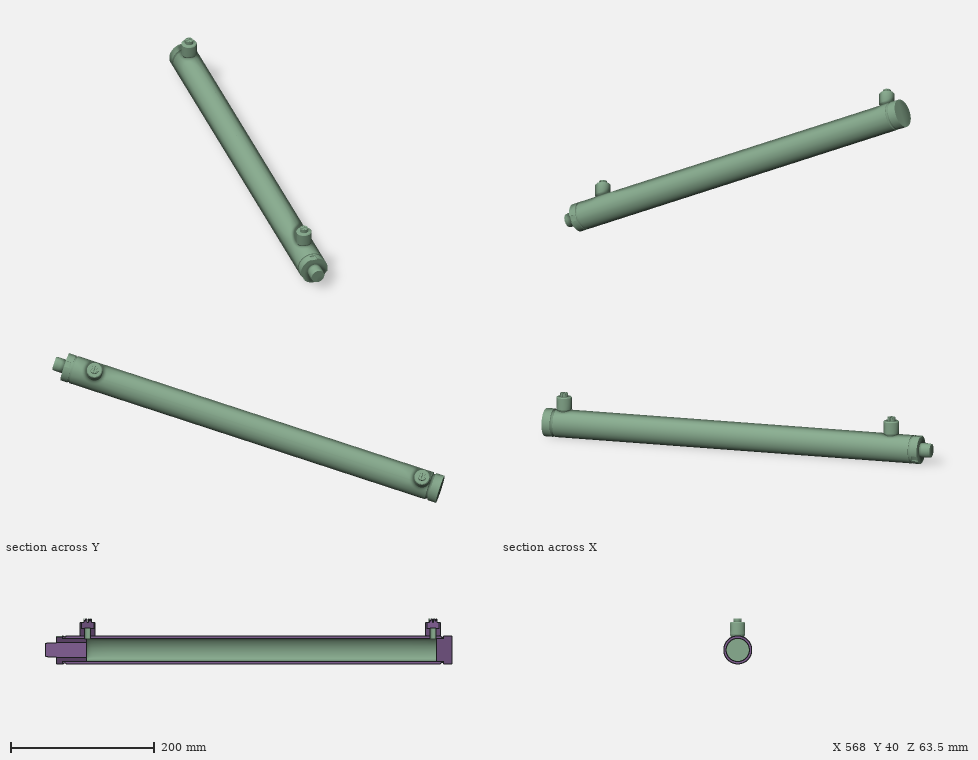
import cadquery as cq

LENGTH = 568
TUBE_DIAMETER = 40.0
TUBE_RADIUS = TUBE_DIAMETER / 2
AXIS_Z = TUBE_RADIUS
BORE_DIAMETER = 32.0

CAP_LENGTH = 12.0
CAP_SPIGOT_LENGTH = 10.0

TUBE_START = CAP_LENGTH
TUBE_END = 544.0
WELD_GROOVE_RADIUS = 2.0

GROOVE_START = 539.5
GROOVE_WIDTH = 3.0
GROOVE_DEPTH = 1.0

GLAND_END = 552.5
GLAND_LENGTH = GLAND_END - TUBE_END
GLAND_SPIGOT_LENGTH = 34.0
NOTCH_COUNT = 3
NOTCH_WIDTH = 8.5
NOTCH_DEPTH = 1.5

ROD_DIAMETER = 20.0
ROD_START = TUBE_END - GLAND_SPIGOT_LENGTH
TAPER_LENGTH = 3.5
TAPER_DEPTH = 0.5

PORT_X = (26.5, 509.0)
BOSS_DIAMETER = 21.5
BOSS_TOP = 58.5
BOSS_CHAMFER = 1.0
BOSS_TAPER_TOP = TUBE_DIAMETER + 1.0
BOSS_TAPER_HEIGHT = 3.5
BOSS_TAPER_DEPTH = 1.5
PORT_DIAMETER = 16.5
OIL_HOLE_DIAMETER = 8.0

PLUG_TOP = 63.5
PLUG_DEPTH = 8.5
GRIP_DIAMETER = 11.5
SLOT_WIDTH = 1.0
SIDE_SLOT_WIDTH = 0.5
SIDE_SLOT_DEPTH = 3.0
SIDE_SLOT_OFFSET = 3.5


def cylinder_x(start, end, diameter):
    """Solid cylinder on the tube axis between two X positions."""
    return cq.Workplane("YZ", origin=(start, 0, AXIS_Z)).circle(diameter / 2).extrude(end - start)


def cylinder_z(x, bottom, top, diameter):
    """Solid vertical cylinder centred on Y = 0."""
    return cq.Workplane("XY", origin=(x, 0, bottom)).circle(diameter / 2).extrude(top - bottom)


def make_tube():
    weld_groove_end = TUBE_START + 2 * WELD_GROOVE_RADIUS
    profile = (
        cq.Workplane("XY")
        .moveTo(TUBE_START, BORE_DIAMETER / 2)
        .lineTo(TUBE_START, TUBE_RADIUS)
        .threePointArc(
            (TUBE_START + WELD_GROOVE_RADIUS, TUBE_RADIUS - WELD_GROOVE_RADIUS),
            (weld_groove_end, TUBE_RADIUS),
        )
        .lineTo(GROOVE_START, TUBE_RADIUS)
        .lineTo(GROOVE_START, TUBE_RADIUS - GROOVE_DEPTH)
        .lineTo(GROOVE_START + GROOVE_WIDTH, TUBE_RADIUS - GROOVE_DEPTH)
        .lineTo(GROOVE_START + GROOVE_WIDTH, TUBE_RADIUS)
        .lineTo(TUBE_END, TUBE_RADIUS)
        .lineTo(TUBE_END, BORE_DIAMETER / 2)
        .close()
    )
    tube = profile.revolve(360, (0, 0, 0), (1, 0, 0)).translate((0, 0, AXIS_Z))
    for x in PORT_X:
        tube = tube.cut(cylinder_z(x, AXIS_Z, TUBE_DIAMETER, OIL_HOLE_DIAMETER))
    return tube


def make_cap():
    cap = cylinder_x(0, CAP_LENGTH, TUBE_DIAMETER)
    return cap.union(cylinder_x(CAP_LENGTH, CAP_LENGTH + CAP_SPIGOT_LENGTH, BORE_DIAMETER))


def make_gland():
    gland = cylinder_x(TUBE_END, GLAND_END, TUBE_DIAMETER)
    notch = cq.Workplane("XY").box(GLAND_LENGTH, NOTCH_WIDTH, 2 * NOTCH_DEPTH)
    notch = notch.translate((TUBE_END + GLAND_LENGTH / 2, 0, TUBE_DIAMETER))
    for i in range(NOTCH_COUNT):
        gland = gland.cut(notch.rotate((0, 0, AXIS_Z), (1, 0, AXIS_Z), i * 360 / NOTCH_COUNT))
    gland = gland.union(cylinder_x(TUBE_END - GLAND_SPIGOT_LENGTH, TUBE_END, BORE_DIAMETER))
    return gland.cut(cylinder_x(0, LENGTH, ROD_DIAMETER))


def make_rod():
    """Revolved so that the lead-in taper is long in X and shallow in radius."""
    radius = ROD_DIAMETER / 2
    profile = (
        cq.Workplane("XY")
        .moveTo(ROD_START, 0)
        .lineTo(ROD_START, radius)
        .lineTo(LENGTH - TAPER_LENGTH, radius)
        .lineTo(LENGTH, radius - TAPER_DEPTH)
        .lineTo(LENGTH, 0)
        .close()
    )
    return profile.revolve(360, (0, 0, 0), (1, 0, 0)).translate((0, 0, AXIS_Z))


def make_boss(x):
    radius = BOSS_DIAMETER / 2
    profile = (
        cq.Workplane("XZ", origin=(x, 0, 0))
        .moveTo(0, BOSS_TAPER_TOP - BOSS_TAPER_HEIGHT)
        .lineTo(radius - BOSS_TAPER_DEPTH, BOSS_TAPER_TOP - BOSS_TAPER_HEIGHT)
        .lineTo(radius, BOSS_TAPER_TOP)
        .lineTo(radius, BOSS_TOP - BOSS_CHAMFER)
        .lineTo(radius - BOSS_CHAMFER, BOSS_TOP)
        .lineTo(0, BOSS_TOP)
        .close()
    )
    boss = profile.revolve(360, (0, 0, 0), (0, 1, 0))
    boss = boss.cut(cylinder_x(0, LENGTH, TUBE_DIAMETER))
    boss = boss.cut(cylinder_z(x, BOSS_TOP - PLUG_DEPTH, BOSS_TOP, PORT_DIAMETER))
    return boss.cut(cylinder_z(x, AXIS_Z, BOSS_TOP, OIL_HOLE_DIAMETER))


def slot_y(x, width, depth):
    """Slot along Y, cut down from the top of a plug grip."""
    slot = cq.Workplane("XY", origin=(x, 0, PLUG_TOP - depth))
    return slot.rect(width, 2 * GRIP_DIAMETER).extrude(depth)


def make_plug(x):
    plug = cylinder_z(x, BOSS_TOP - PLUG_DEPTH, BOSS_TOP, PORT_DIAMETER)
    plug = plug.union(cylinder_z(x, BOSS_TOP, PLUG_TOP, GRIP_DIAMETER))
    plug = plug.cut(slot_y(x, SLOT_WIDTH, PLUG_TOP - BOSS_TOP))
    for offset in (-SIDE_SLOT_OFFSET, SIDE_SLOT_OFFSET):
        plug = plug.cut(slot_y(x + offset, SIDE_SLOT_WIDTH, SIDE_SLOT_DEPTH))
    return plug


bosses = [make_boss(x) for x in PORT_X]
plugs = [make_plug(x) for x in PORT_X]
bodies = [make_tube(), make_cap(), make_gland(), make_rod(), *bosses, *plugs]
result = cq.Compound.makeCompound([body.val() for body in bodies])